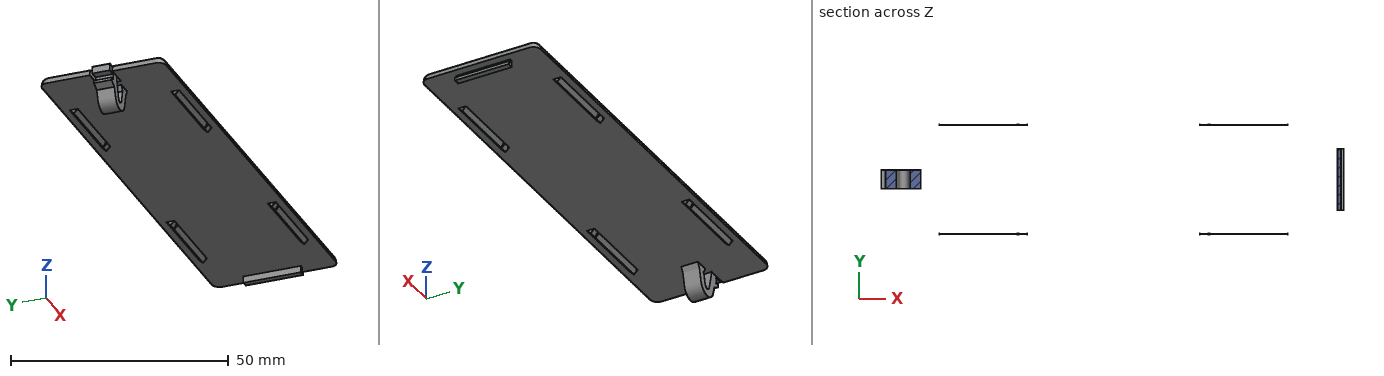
import cadquery as cq
import math

length = 109.0
width = 30.7
thickness = 2.1
edge_radius = 2.0

notch_length = 5.3
notch_width = 5.6
latch_width = 4.4
tongue_length = 4.4
tongue_bottom = 0.3

bend_x = 6.3
bend_z = -3.9
bend_inner_radius = 1.0
bend_outer_radius = 2.9
leg_lean = math.radians(13)
root_fillet_width = 0.8
root_fillet_height = 1.3

catch_root_x = 2.1
catch_tip_x = 1.1
catch_top = -1.0
catch_bottom = -1.6
catch_toe_x = 2.8
catch_toe_z = -2.6

rib_start = 14.5
rib_length = 20.2
rib_width = 2.0
rib_depth = 1.0
rib_y = 12.5
rib_cut_width = 0.3
rib_cut_from_end = 2.1

lip_start = 106.0
lip_wall = 0.9
lip_reach = 1.5
lip_width = 14.2
lip_depth = 1.6
lip_foot = 0.8

overlap = 0.2


def make_plate():
    plate = cq.Workplane("XY").box(length, width, thickness, centered=(False, True, False))
    plate = plate.edges("|Z").fillet(edge_radius).faces(">Z").edges().fillet(edge_radius)
    notch = cq.Workplane("XY").box(notch_length, notch_width, thickness, centered=(False, True, False))
    return plate.cut(notch)


def bend_point(radius, angle):
    return (bend_x + radius * math.cos(angle), bend_z + radius * math.sin(angle))


def leg_x(side, radius, z):
    """X of a leaning leg face that is tangent to the bend; side is -1 left, +1 right."""
    return bend_x + side * (radius / math.cos(leg_lean) + (z - bend_z) * math.tan(leg_lean))


def make_latch():
    right_tangent = -leg_lean
    left_tangent = math.pi + leg_lean
    bottom = -math.pi / 2
    root_z = -root_fillet_height
    outer_root_x = leg_x(1, bend_outer_radius, root_z)
    inner_root_x = leg_x(1, bend_inner_radius, root_z)
    profile = (
        cq.Workplane("XZ", origin=(0, latch_width / 2, 0))
        .moveTo(0, thickness)
        .lineTo(0, tongue_bottom)
        .lineTo(catch_root_x, tongue_bottom)
        .lineTo(catch_root_x, catch_top)
        .lineTo(catch_tip_x, catch_top)
        .lineTo(catch_tip_x, catch_bottom)
        .lineTo(catch_toe_x, catch_toe_z)
        .lineTo(*bend_point(bend_outer_radius, left_tangent))
        .threePointArc(bend_point(bend_outer_radius, bottom), bend_point(bend_outer_radius, right_tangent))
        .lineTo(outer_root_x, root_z)
        .lineTo(outer_root_x + root_fillet_width, 0)
        .lineTo(outer_root_x + root_fillet_width, overlap)
        .lineTo(inner_root_x - root_fillet_width, overlap)
        .lineTo(inner_root_x - root_fillet_width, 0)
        .lineTo(inner_root_x, root_z)
        .lineTo(*bend_point(bend_inner_radius, right_tangent))
        .threePointArc(bend_point(bend_inner_radius, bottom), bend_point(bend_inner_radius, left_tangent))
        .lineTo(tongue_length, 0)
        .lineTo(tongue_length, thickness)
        .close()
    )
    return profile.extrude(latch_width)


def make_rib(start, y, cut_x):
    half = rib_width / 2
    rib = (
        cq.Workplane("YZ", origin=(start, y, 0))
        .polyline([(-half, overlap), (-half, 0), (0, -rib_depth), (half, 0), (half, overlap)])
        .close()
        .extrude(rib_length)
    )
    cut = cq.Workplane("XY", origin=(cut_x, y, -rib_depth)).box(
        rib_cut_width, rib_width, rib_depth, centered=(True, True, False)
    )
    return rib.cut(cut)


def make_lip():
    wall = cq.Workplane("XY", origin=(lip_start, 0, -lip_depth)).box(
        lip_wall, lip_width, lip_depth + overlap, centered=(False, True, False)
    )
    foot = cq.Workplane("XY", origin=(lip_start, 0, -lip_depth)).box(
        lip_reach, lip_width, lip_foot, centered=(False, True, False)
    )
    return wall.union(foot)


result = make_plate().union(make_latch()).union(make_lip())
left_cut_x = rib_start + rib_length - rib_cut_from_end
for rib_side in (-1, 1):
    result = result.union(make_rib(rib_start, rib_side * rib_y, left_cut_x))
    result = result.union(make_rib(length - rib_start - rib_length, rib_side * rib_y, length - left_cut_x))